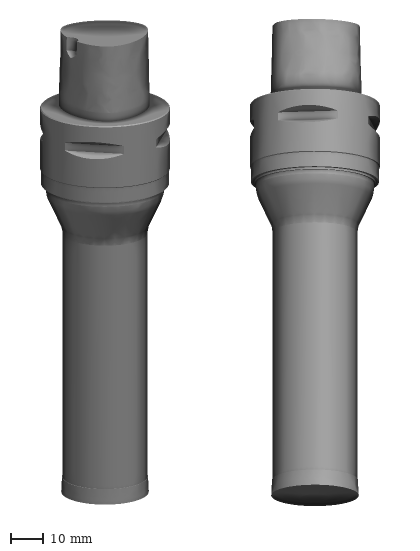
import cadquery as cq
import math

shank_length = 24.0
shank_straight_length = 2.7
shank_mean_diameter = 28.0
shank_lobe_height = 0.9
shank_taper = 1 / 20
shank_outline_points = 24

notch_diameter = 6.0
notch_axis_y = -13.6
notch_straight_depth = 4.3
notch_point_angle = 106.0

flange_diameter = 40.0
flange_bottom_z = -24.6
flange_shoulder_diameter = 37.5
flange_shoulder_z = -25.2
flange_edge_chamfer = 0.3
lower_band_diameter = 39.5
lower_band_z = -20.0

slot_count = 4
slot_first_angle = 45.0
slot_center_z = -7.9
slot_floor_distance = 17.7
slot_floor_height = 2.5
slot_wall_slope = 33.0

neck_diameter = 36.5
neck_curve_z = -26.5
neck_upper_point = (16.75, -31.2)
neck_lower_point = (13.7, -37.8)

stem_diameter = 26.1
stem_top_z = -40.7
stem_bottom_z = -119.3
head_top_diameter = 26.5
head_diameter = 27.0
head_rim_z = -124.2
head_tip_z = -125.0
head_tip_diameter = 9.0


def lobed_point(angle, mean_diameter):
    """Point on a three-lobed curve of constant width, one lobe towards +Y."""
    radius = mean_diameter / 2
    lobe = shank_lobe_height
    along = radius * math.cos(angle) + 2 * lobe * math.cos(2 * angle) - lobe * math.cos(4 * angle)
    across = radius * math.sin(angle) - 2 * lobe * math.sin(2 * angle) - lobe * math.sin(4 * angle)
    return (-across, along)


def lobed_outline(plane_z, mean_diameter):
    angle_step = 2 * math.pi / shank_outline_points
    points = [
        cq.Vector(*lobed_point(i * angle_step, mean_diameter), plane_z)
        for i in range(shank_outline_points)
    ]
    return cq.Wire.assembleEdges([cq.Edge.makeSpline(points, periodic=True)])


def make_shank():
    top_diameter = shank_mean_diameter - shank_taper * (shank_length - shank_straight_length)
    base = lobed_outline(0, shank_mean_diameter)
    taper_start = lobed_outline(shank_straight_length, shank_mean_diameter)
    top = lobed_outline(shank_length, top_diameter)
    straight = cq.Solid.makeLoft([base, taper_start], True)
    tapered = cq.Solid.makeLoft([taper_start, top], True)
    return cq.Workplane(straight).union(cq.Workplane(tapered))


def make_notch():
    """Drilled recess with a conical bottom."""
    radius = notch_diameter / 2
    shoulder_z = shank_length - notch_straight_depth
    point_z = shoulder_z - radius / math.tan(math.radians(notch_point_angle / 2))
    profile = [(0, shank_length), (radius, shank_length), (radius, shoulder_z), (0, point_z)]
    drill = cq.Workplane("XZ").polyline(profile).close().revolve(360, (0, 0), (0, 1))
    return drill.translate((0, notch_axis_y, 0))


def make_turned_body():
    """Flange, curved neck and stem as one revolved profile."""
    flange_radius = flange_diameter / 2
    band_radius = lower_band_diameter / 2
    neck_radius = neck_diameter / 2
    stem_radius = stem_diameter / 2
    shoulder_radius = flange_shoulder_diameter / 2
    band_step = flange_radius - band_radius
    neck_curve = [neck_upper_point, neck_lower_point, (stem_radius, stem_top_z)]
    downward = (0, -1)

    return (
        cq.Workplane("XZ")
        .moveTo(0, 0)
        .lineTo(flange_radius - flange_edge_chamfer, 0)
        .lineTo(flange_radius, -flange_edge_chamfer)
        .lineTo(flange_radius, lower_band_z + band_step)
        .lineTo(band_radius, lower_band_z)
        .lineTo(band_radius, flange_bottom_z)
        .lineTo(shoulder_radius, flange_bottom_z)
        .lineTo(shoulder_radius, flange_shoulder_z)
        .lineTo(neck_radius, flange_shoulder_z)
        .lineTo(neck_radius, neck_curve_z)
        .spline(neck_curve, tangents=[downward, downward], includeCurrent=True)
        .lineTo(stem_radius, stem_bottom_z)
        .lineTo(0, stem_bottom_z)
        .close()
        .revolve(360, (0, 0), (0, 1))
    )


def make_gripper_slot(angle):
    """Straight slot with a flat floor and sloping walls, facing +X before it is turned."""
    outer_distance = flange_diameter / 2
    floor_half = slot_floor_height / 2
    widening = (outer_distance - slot_floor_distance) * math.tan(math.radians(slot_wall_slope))
    outer_half = floor_half + widening
    profile = [
        (slot_floor_distance, slot_center_z - floor_half),
        (outer_distance, slot_center_z - outer_half),
        (outer_distance, slot_center_z + outer_half),
        (slot_floor_distance, slot_center_z + floor_half),
    ]
    slot = cq.Workplane("XZ").polyline(profile).close().extrude(flange_diameter / 2, both=True)
    return slot.rotate((0, 0, 0), (0, 0, 1), angle)


def make_holder():
    holder = make_turned_body().union(make_shank()).cut(make_notch())
    for i in range(slot_count):
        holder = holder.cut(make_gripper_slot(slot_first_angle + i * 360 / slot_count))
    return holder


def make_cutting_head():
    """Slightly flared head with a shallow cone below its rim and a flat tip."""
    profile = [
        (0, stem_bottom_z),
        (head_top_diameter / 2, stem_bottom_z),
        (head_diameter / 2, head_rim_z),
        (head_tip_diameter / 2, head_tip_z),
        (0, head_tip_z),
    ]
    return cq.Workplane("XZ").polyline(profile).close().revolve(360, (0, 0), (0, 1))


holder = make_holder()
cutting_head = make_cutting_head()

result = cq.Compound.makeCompound([holder.solids().val(), cutting_head.val()])